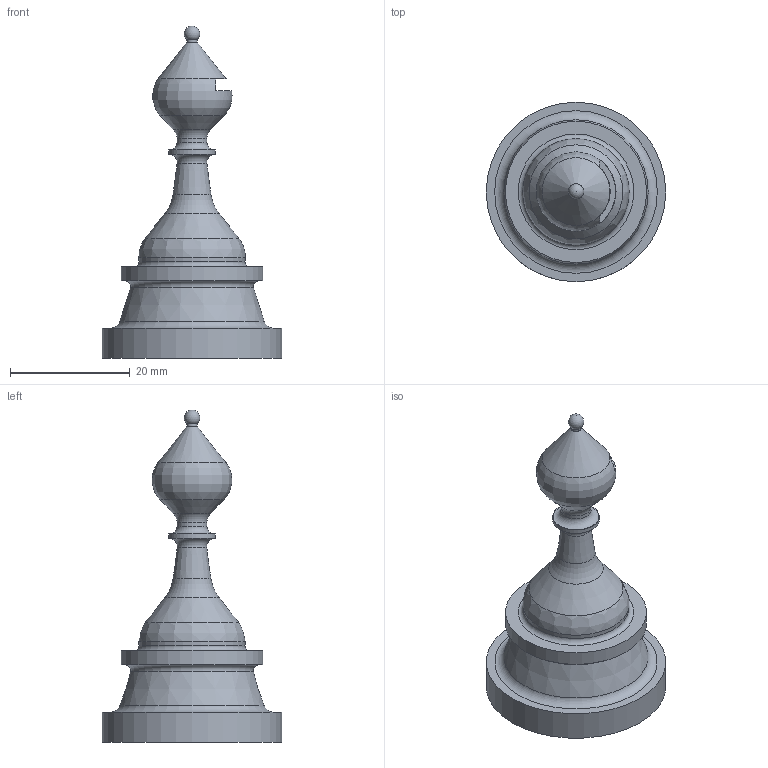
import cadquery as cq
import math

base_radius = 29.95 / 2
base_height = 5.0

pedestal_bottom_radius = 12.39
pedestal_top_radius = 9.9
pedestal_bottom_fillet = 1.6
pedestal_top_fillet = 0.9

collar_radius = 23.55 / 2
collar_bottom = 12.85
collar_top = 15.2

body_foot_radius = 8.8
body_foot_fillet = 0.8
body_radius = 8.95
body_shoulder_height = 18.55
body_shoulder_rounding = 4.8
body_waist_radius = 3.4
body_waist_height = 25.5
body_waist_rounding = 6.5

neck_radius = 5.0 / 2
neck_taper_top_radius = 2.27
ring_radius = 7.78 / 2
ring_bottom = 34.0
ring_top = 34.7
ring_lower_fillet = 1.4
ring_upper_fillet = 1.3

head_foot_height = 37.45
head_foot_rounding = 2.1
head_corner_radius = 8.2
head_corner_height = 43.4
head_rounding = 4.7
head_top_radius = 0.85
head_top = 52.7

total_height = 55.38
ball_radius = 1.3
ball_center = total_height - ball_radius

slot_floor_x = 3.96
slot_bottom = 44.55
slot_height = 2.0


def rounded_corner(before, corner, after, radius):
    """Start, middle and end of the arc that rounds a corner of a polyline."""
    to_before = (cq.Vector(*before) - cq.Vector(*corner)).normalized()
    to_after = (cq.Vector(*after) - cq.Vector(*corner)).normalized()
    half_angle = to_before.getAngle(to_after) / 2
    setback = radius / math.tan(half_angle)
    bisector = (to_before + to_after).normalized()
    middle_distance = radius / math.sin(half_angle) - radius
    offsets = (to_before * setback, bisector * middle_distance, to_after * setback)
    return [(corner[0] + offset.x, corner[1] + offset.y) for offset in offsets]


def turned_body():
    """Revolve everything below the ball; each corner is (radius, height, rounding)."""
    corners = [
        (0, 0, 0),
        (base_radius, 0, 0),
        (base_radius, base_height, 0),
        (pedestal_bottom_radius, base_height, pedestal_bottom_fillet),
        (pedestal_top_radius, collar_bottom, pedestal_top_fillet),
        (collar_radius, collar_bottom, 0),
        (collar_radius, collar_top, 0),
        (body_foot_radius, collar_top, body_foot_fillet),
        (body_radius, body_shoulder_height, body_shoulder_rounding),
        (body_waist_radius, body_waist_height, body_waist_rounding),
        (neck_taper_top_radius, ring_bottom, ring_lower_fillet),
        (ring_radius, ring_bottom, 0),
        (ring_radius, ring_top, 0),
        (neck_radius, ring_top, ring_upper_fillet),
        (neck_radius, head_foot_height, head_foot_rounding),
        (head_corner_radius, head_corner_height, head_rounding),
        (head_top_radius, head_top, 0),
        (head_top_radius, ball_center, 0),
        (0, ball_center, 0),
    ]
    points = [(radius, height) for radius, height, _ in corners]
    outline = cq.Workplane("XZ").moveTo(*points[0])
    for index in range(1, len(corners)):
        rounding = corners[index][2]
        if rounding == 0:
            outline = outline.lineTo(*points[index])
            continue
        start, middle, end = rounded_corner(
            points[index - 1], points[index], points[index + 1], rounding
        )
        outline = outline.lineTo(*start).threePointArc(middle, end)
    return outline.close().revolve(360, (0, 0, 0), (0, 1, 0))


def ball_finial():
    return cq.Workplane("XY").sphere(ball_radius).translate((0, 0, ball_center))


def head_slot():
    """Cutter that reaches beyond the head on the open sides."""
    return cq.Workplane("XY").box(
        head_corner_radius, 2 * head_corner_radius, slot_height, centered=(False, True, False)
    ).translate((slot_floor_x, 0, slot_bottom))


result = turned_body().union(ball_finial()).cut(head_slot())